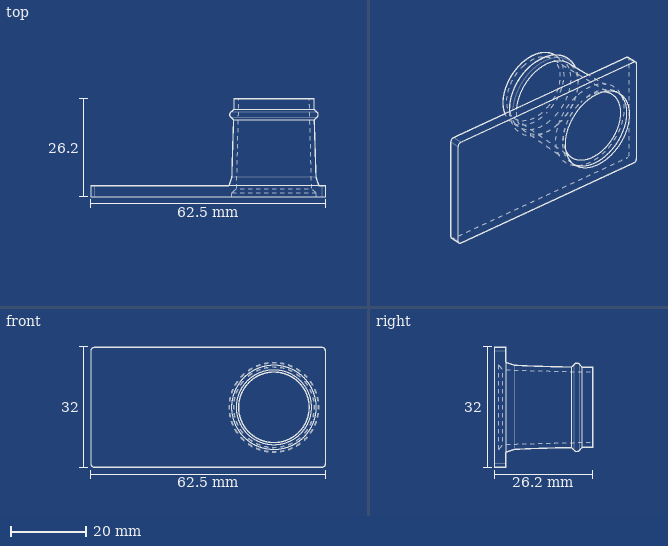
import cadquery as cq

plate_length = 62.5
plate_height = 32.0
plate_thickness = 3.05
corner_radius = 1.0

spigot_x = 17.5
total_depth = 26.25
flare_end = 5.3
flare_diameter = 24.0
body_diameter = 22.5
neck_diameter = 21.55
tip_diameter = 21.4

bead_start = 20.55
bead_end = 23.4
bead_diameter = 23.6
bead_shoulder_diameter = 22.9
bead_flank = 0.7

mouth_diameter = 22.5
throat_diameter = 20.0
outlet_diameter = 18.75
mouth_depth = 1.1
throat_depth = 2.2


def make_plate():
    return (
        cq.Workplane("XY")
        .box(plate_length, plate_thickness, plate_height)
        .translate((0, plate_thickness / 2, 0))
        .edges("|Y")
        .fillet(corner_radius)
    )


def revolve_about_spigot(profile):
    """Revolve a (radius, depth) half profile around the spigot axis."""
    return profile.close().revolve(360, (0, 0, 0), (0, 1, 0)).translate((spigot_x, 0, 0))


def make_spigot():
    bead_middle = (bead_start + bead_end) / 2
    bead_shoulder_radius = bead_shoulder_diameter / 2
    profile = (
        cq.Workplane("XY")
        .moveTo(0, plate_thickness)
        .lineTo(flare_diameter / 2, plate_thickness)
        .lineTo(body_diameter / 2, flare_end)
        .lineTo(neck_diameter / 2, bead_start)
        .lineTo(bead_shoulder_radius, bead_start + bead_flank)
        .threePointArc(
            (bead_diameter / 2, bead_middle),
            (bead_shoulder_radius, bead_end - bead_flank),
        )
        .lineTo(tip_diameter / 2, bead_end)
        .lineTo(tip_diameter / 2, total_depth)
        .lineTo(0, total_depth)
    )
    return revolve_about_spigot(profile)


def make_bore():
    """Straight mouth, a short cone, then a gently tapering bore."""
    profile = (
        cq.Workplane("XY")
        .lineTo(mouth_diameter / 2, 0)
        .lineTo(mouth_diameter / 2, mouth_depth)
        .lineTo(throat_diameter / 2, throat_depth)
        .lineTo(outlet_diameter / 2, total_depth)
        .lineTo(0, total_depth)
    )
    return revolve_about_spigot(profile)


result = make_plate().union(make_spigot()).cut(make_bore())